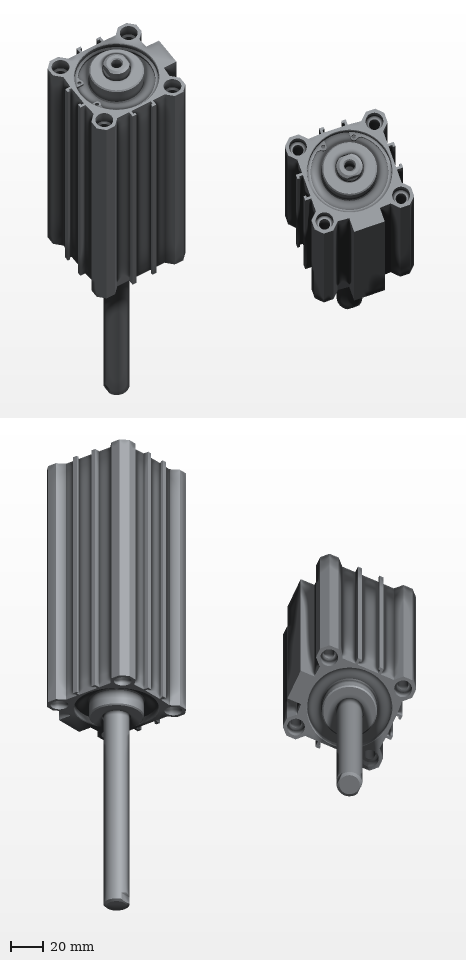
import cadquery as cq
import math


housing_length = 165.0
collar_height = 6.5
rod_top_reach = 13.25
rod_bottom_reach = 138.25

wall_half_width = 28.0
wall_half_depth = 28.4
wall_slope = 0.6
lug_offset = 25.0
lug_across_flats = 15.0
port_block_width = 20.0
port_block_face = 37.5

rail_reach = 32.0
rail_outer_offset = 8.7
rail_stem_thickness = 1.6
rail_lip_thickness = 1.6
rail_lip_width = 2.9

screw_hole_diameter = 6.8
counterbore_diameter = 11.0
counterbore_depth = 8.0

bore_diameter = 52.2
bore_chamfer = 0.4
cover_recess = 4.5
cover_thickness = 15.0
collar_diameter = 34.0
collar_chamfer = 0.8
collar_foot = 0.7
seal_diameter = 18.0
seal_depth = 2.0

ring_diameter = 51.8
ring_inner_diameter = 48.0
ring_thickness = 1.5
ring_gap_half_width = 8.0
ring_ear_edge = -19.2
ring_ear_radius = 2.5
ring_ear_x = 10.0
ring_ear_y = -20.8
ring_hole_diameter = 2.5

rod_diameter = 16.0
rod_chamfer_length = 1.0
rod_chamfer_width = 1.75
flat_distance = 14.0
flat_length = 5.2
flat_run_out = 1.2
thread_diameter = 6.65
thread_mouth_diameter = 8.25
thread_depth = 14.0
drill_point_angle = 160.0

lug_centres = [(x, y) for x in (-lug_offset, lug_offset) for y in (-lug_offset, lug_offset)]


def cylinder(diameter, bottom, height):
    return cq.Workplane("XY").workplane(offset=bottom).circle(diameter / 2).extrude(height)


def rail(wall, side):
    """One rail on the -Y wall, on the side of the centre plane given by the sign."""
    outer = rail_outer_offset
    stem_inner = outer - rail_stem_thickness
    lip_inner = outer - rail_lip_width
    lip_back = rail_reach - rail_lip_thickness
    root = wall - rail_stem_thickness
    outline = [
        (outer, root),
        (outer, rail_reach),
        (lip_inner, rail_reach),
        (lip_inner, lip_back),
        (stem_inner, lip_back),
        (stem_inner, root),
    ]
    points = [(side * x, -y) for x, y in outline]
    return cq.Workplane("XY").polyline(points).close().extrude(housing_length)


def bore_mouth(end, inward):
    """Cone that chamfers one end of the bore."""
    radius = bore_diameter / 2
    start = cq.Vector(0, 0, end)
    direction = cq.Vector(0, 0, inward)
    return cq.Workplane(cq.Solid.makeCone(radius + bore_chamfer, radius, bore_chamfer, start, direction))


def build_housing():
    shoulder = wall_half_depth - wall_slope
    corner = lug_offset - lug_across_flats / 2
    right_side = [
        (rail_outer_offset, -wall_half_depth),
        (corner, -shoulder),
        (wall_half_width, -shoulder),
        (wall_half_width, shoulder),
        (corner, shoulder),
        (rail_outer_offset, wall_half_depth),
    ]
    left_side = [(-x, -y) for x, y in right_side]
    body = cq.Workplane("XY").polyline(right_side + left_side).close().extrude(housing_length)

    lug_sides = 8
    half_turn_step = 180 / lug_sides
    lug_across_corners = lug_across_flats / math.cos(math.radians(half_turn_step))
    for x, y in lug_centres:
        lug = cq.Workplane("XY").polygon(lug_sides, lug_across_corners).extrude(housing_length)
        lug = lug.rotate((0, 0, 0), (0, 0, 1), half_turn_step)
        body = body.union(lug.translate((x, y, 0)))

    block = (
        cq.Workplane("XY")
        .center(0, port_block_face / 2)
        .rect(port_block_width, port_block_face)
        .extrude(housing_length)
    )
    body = body.union(block)

    for turn, wall in ((-90, wall_half_width), (0, wall_half_depth), (90, wall_half_width)):
        for side in (-1, 1):
            body = body.union(rail(wall, side).rotate((0, 0, 0), (0, 0, 1), turn))

    body = body.cut(cylinder(bore_diameter, 0, housing_length))
    for end, inward in ((0, 1), (housing_length, -1)):
        body = body.cut(bore_mouth(end, inward))
    for x, y in lug_centres:
        body = body.cut(cylinder(screw_hole_diameter, 0, housing_length).translate((x, y, 0)))
        for bottom in (0, housing_length - counterbore_depth):
            counterbore = cylinder(counterbore_diameter, bottom, counterbore_depth)
            body = body.cut(counterbore.translate((x, y, 0)))
    return body


def build_cover():
    """Rod cover with its collar pointing up, in place at the top of the housing."""
    face = housing_length - cover_recess
    collar_top = housing_length + collar_height
    plate_bottom = face - cover_thickness
    collar = cylinder(collar_diameter, plate_bottom, collar_top - plate_bottom)
    collar = collar.faces(">Z").chamfer(collar_chamfer)
    cover = cylinder(bore_diameter, plate_bottom, cover_thickness).union(collar)
    collar_radius = collar_diameter / 2
    foot_base = cq.Vector(0, 0, face)
    foot = cq.Solid.makeCone(collar_radius + collar_foot, collar_radius, collar_foot, foot_base)
    cover = cover.union(cq.Workplane(foot))
    cover = cover.cut(cylinder(rod_diameter, plate_bottom, collar_top - plate_bottom))
    return cover.cut(cylinder(seal_diameter, collar_top - seal_depth, seal_depth))


def build_ring():
    """Open retaining ring lying on the top cover, with two ears beside its gap."""
    bottom = housing_length - cover_recess
    disc = cylinder(ring_diameter, bottom, ring_thickness)
    opening = cylinder(ring_inner_diameter, bottom, ring_thickness)
    ear_zone = (
        cq.Workplane("XY")
        .workplane(offset=bottom)
        .center(0, ring_ear_edge - ring_diameter / 2)
        .rect(ring_diameter, ring_diameter)
        .extrude(ring_thickness)
    )
    ring = disc.cut(opening.cut(ear_zone))
    ear_places = [(-ring_ear_x, ring_ear_y), (ring_ear_x, ring_ear_y)]
    for x, y in ear_places:
        ring = ring.union(cylinder(2 * ring_ear_radius, bottom, ring_thickness).translate((x, y, 0)))
    gap = (
        cq.Workplane("XY")
        .workplane(offset=bottom)
        .center(0, -ring_diameter / 2)
        .rect(2 * ring_gap_half_width, ring_diameter)
        .extrude(ring_thickness)
    )
    ring = ring.cut(gap.cut(opening.cut(ear_zone)))
    for x, y in ear_places:
        ring = ring.cut(cylinder(ring_hole_diameter, bottom, ring_thickness).translate((x, y, 0)))
    return ring


def flat_cutter(rod_end, inward):
    """Cuts the +Y flat at one rod end, running out of the rod on a slope."""
    depth = (rod_diameter - flat_distance) / 2
    flat_y = flat_distance / 2
    flat_end = rod_end + inward * flat_length
    outline = [
        (flat_y, rod_end),
        (flat_y, flat_end),
        (flat_y + depth, flat_end + inward * flat_run_out),
        (flat_y + depth, rod_end),
    ]
    cutter = cq.Workplane("YZ").polyline(outline).close()
    return cutter.extrude(rod_diameter / 2, both=True)


def thread_hole():
    """Tapped hole in the top rod end: countersunk mouth and drill point, turned about Z."""
    top = housing_length + rod_top_reach
    radius = thread_diameter / 2
    mouth_radius = thread_mouth_diameter / 2
    point_length = radius / math.tan(math.radians(drill_point_angle / 2))
    outline = [
        (0, top),
        (mouth_radius, top),
        (radius, top - (mouth_radius - radius)),
        (radius, top - thread_depth),
        (0, top - thread_depth - point_length),
    ]
    return cq.Workplane("XZ").polyline(outline).close().revolve(360, (0, 0, 0), (0, 1, 0))


def build_rod():
    top = housing_length + rod_top_reach
    bottom = -rod_bottom_reach
    radius = rod_diameter / 2
    end_radius = radius - rod_chamfer_width
    profile = (
        cq.Workplane("XZ")
        .moveTo(0, bottom)
        .lineTo(end_radius, bottom)
        .lineTo(radius, bottom + rod_chamfer_length)
        .lineTo(radius, top - rod_chamfer_length)
        .lineTo(end_radius, top)
        .lineTo(0, top)
        .close()
    )
    rod = profile.revolve(360, (0, 0, 0), (0, 1, 0))
    for rod_end, inward in ((top, -1), (bottom, 1)):
        cutter = flat_cutter(rod_end, inward)
        rod = rod.cut(cutter).cut(cutter.mirror("XZ"))
    return rod.cut(thread_hole())


housing = build_housing()
top_cover = build_cover()
bottom_cover = top_cover.mirror("XY", (0, 0, housing_length / 2))
retaining_ring = build_ring()
rod = build_rod()

result = cq.Compound.makeCompound([
    housing.val(),
    top_cover.val(),
    bottom_cover.val(),
    retaining_ring.val(),
    rod.val(),
])